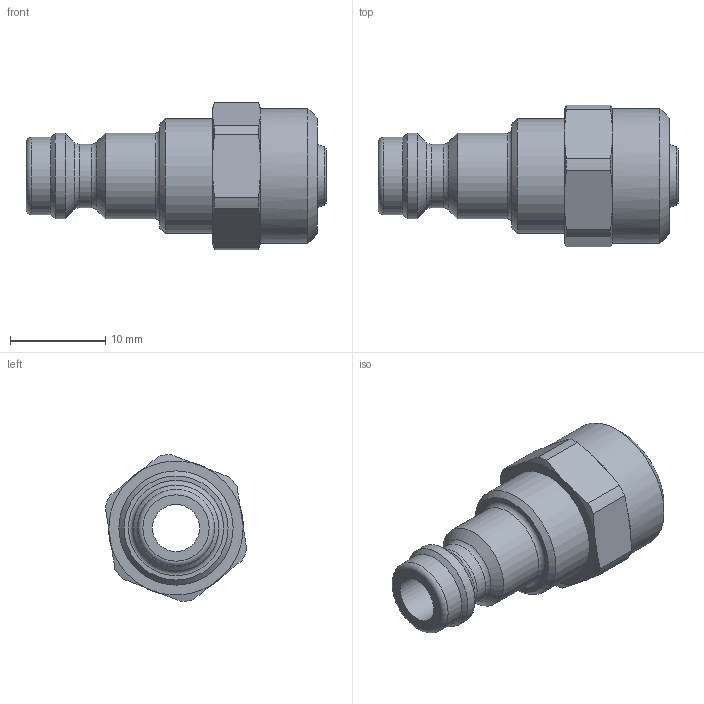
import cadquery as cq
import math


SIN_45 = math.sin(math.radians(45))
COS_45 = math.cos(math.radians(45))
BORE_DIAMETER = 4.95
TIP_DIAMETER = 8.1
COLLAR_DIAMETER = 9.0
GROOVE_DIAMETER = 6.65
STEP_FACE_DIAMETER = 10.92
SHANK_DIAMETER = 12.0
NUT_BARREL_DIAMETER = 14.15
SPIGOT_DIAMETER = 6.65
SPIGOT_SHOULDER_DIAMETER = 6.1
SPIGOT_END_CHAMFER = 0.15
SPIGOT_END_DIAMETER = SPIGOT_SHOULDER_DIAMETER - 2 * SPIGOT_END_CHAMFER

TIP_RADIUS = TIP_DIAMETER / 2
COLLAR_RADIUS = COLLAR_DIAMETER / 2
GROOVE_RADIUS = GROOVE_DIAMETER / 2
SPIGOT_RADIUS = SPIGOT_DIAMETER / 2

TIP_ROUND = 0.57
COLLAR_RAMP_START = 2.6
COLLAR_RAMP_END = COLLAR_RAMP_START + (COLLAR_RADIUS - TIP_RADIUS)
GROOVE_START = 4.1
GROOVE_END = 8.35
GROOVE_ROUND = 0.8
STEP_X = 14.05
STEP_ROUND = 0.5
STEP_CHAMFER_LENGTH = 0.58
HEX_START = 19.6
HEX_LENGTH = 5.0
HEX_END = HEX_START + HEX_LENGTH
NUT_BARREL_LENGTH = 6.0
NUT_END = HEX_END + NUT_BARREL_LENGTH
NUT_CHAMFER = 1.0
PLUG_LENGTH = 31.5

HEX_ACROSS_FLATS = 14.0
HEX_CORNER_DIAMETER = 15.5
HEX_FACE_DIAMETER = 14.1
HEX_CHAMFER_ANGLE = 15.0
HEX_CORNER_TILT = 8.8


def revolve_about_x(profile):
    """Turn a closed XY profile a full revolution about the X axis."""
    return profile.close().revolve(360, (0, 0, 0), (1, 0, 0))


def make_turned_plug():
    """Turned outside of the plug, from its tip to the end of its spigot."""
    round_length = GROOVE_ROUND * SIN_45
    round_rise = GROOVE_ROUND * (1 - COS_45)
    round_top = GROOVE_RADIUS + round_rise
    wall_length = COLLAR_RADIUS - round_top
    half_angle = math.radians(45 / 2)
    mid_length = GROOVE_ROUND * math.sin(half_angle)
    mid_radius = GROOVE_RADIUS + GROOVE_ROUND * (1 - math.cos(half_angle))

    front_wall_end = GROOVE_START + wall_length
    floor_start = front_wall_end + round_length
    rear_wall_start = GROOVE_END - wall_length
    floor_end = rear_wall_start - round_length

    profile = (
        cq.Workplane("XY")
        .moveTo(0, 0)
        .lineTo(0, TIP_RADIUS - TIP_ROUND)
        .threePointArc(
            (TIP_ROUND * (1 - COS_45), TIP_RADIUS - TIP_ROUND * (1 - SIN_45)),
            (TIP_ROUND, TIP_RADIUS),
        )
        .lineTo(COLLAR_RAMP_START, TIP_RADIUS)
        .lineTo(COLLAR_RAMP_END, COLLAR_RADIUS)
        .lineTo(GROOVE_START, COLLAR_RADIUS)
        .lineTo(front_wall_end, round_top)
        .threePointArc((floor_start - mid_length, mid_radius), (floor_start, GROOVE_RADIUS))
        .lineTo(floor_end, GROOVE_RADIUS)
        .threePointArc((floor_end + mid_length, mid_radius), (rear_wall_start, round_top))
        .lineTo(GROOVE_END, COLLAR_RADIUS)
        .lineTo(STEP_X - STEP_ROUND, COLLAR_RADIUS)
        .threePointArc(
            (STEP_X - STEP_ROUND * (1 - SIN_45), COLLAR_RADIUS + STEP_ROUND * (1 - COS_45)),
            (STEP_X, COLLAR_RADIUS + STEP_ROUND),
        )
        .lineTo(STEP_X, STEP_FACE_DIAMETER / 2)
        .lineTo(STEP_X + STEP_CHAMFER_LENGTH, SHANK_DIAMETER / 2)
        .lineTo(HEX_START, SHANK_DIAMETER / 2)
        .lineTo(HEX_START, SPIGOT_RADIUS)
        .lineTo(NUT_END, SPIGOT_RADIUS)
        .lineTo(PLUG_LENGTH - SPIGOT_END_CHAMFER, SPIGOT_SHOULDER_DIAMETER / 2)
        .lineTo(PLUG_LENGTH, SPIGOT_END_DIAMETER / 2)
        .lineTo(PLUG_LENGTH, 0)
    )
    return revolve_about_x(profile)


def make_hexagon():
    """Hexagon with turned corners and a shallow chamfer on both end faces."""
    corner_radius = HEX_CORNER_DIAMETER / 2
    face_radius = HEX_FACE_DIAMETER / 2
    chamfer_length = (corner_radius - face_radius) * math.tan(math.radians(HEX_CHAMFER_ANGLE))
    prism = (
        cq.Workplane("YZ")
        .workplane(offset=HEX_START)
        .polygon(6, HEX_ACROSS_FLATS, circumscribed=True)
        .extrude(HEX_LENGTH)
        .rotate((0, 0, 0), (1, 0, 0), -HEX_CORNER_TILT)
    )
    turned_blank = revolve_about_x(
        cq.Workplane("XY")
        .moveTo(HEX_START, 0)
        .lineTo(HEX_START, face_radius)
        .lineTo(HEX_START + chamfer_length, corner_radius)
        .lineTo(HEX_END - chamfer_length, corner_radius)
        .lineTo(HEX_END, face_radius)
        .lineTo(HEX_END, 0)
    )
    return prism.intersect(turned_blank)


def make_plug():
    """Plug: the turned shape with a bore right through it."""
    bore = cq.Workplane("YZ").circle(BORE_DIAMETER / 2).extrude(PLUG_LENGTH)
    return make_turned_plug().cut(bore)


def make_nut():
    """Nut: hexagon and chamfered round barrel in one piece, bored to fit the spigot."""
    barrel = (
        cq.Workplane("YZ")
        .workplane(offset=HEX_END)
        .circle(NUT_BARREL_DIAMETER / 2)
        .extrude(NUT_BARREL_LENGTH)
        .faces(">X")
        .chamfer(NUT_CHAMFER)
    )
    spigot_hole = cq.Workplane("YZ").circle(SPIGOT_RADIUS).extrude(NUT_END)
    return make_hexagon().union(barrel).cut(spigot_hole)


plug = make_plug()
nut = make_nut()

result = cq.Compound.makeCompound([plug.val(), nut.val()])